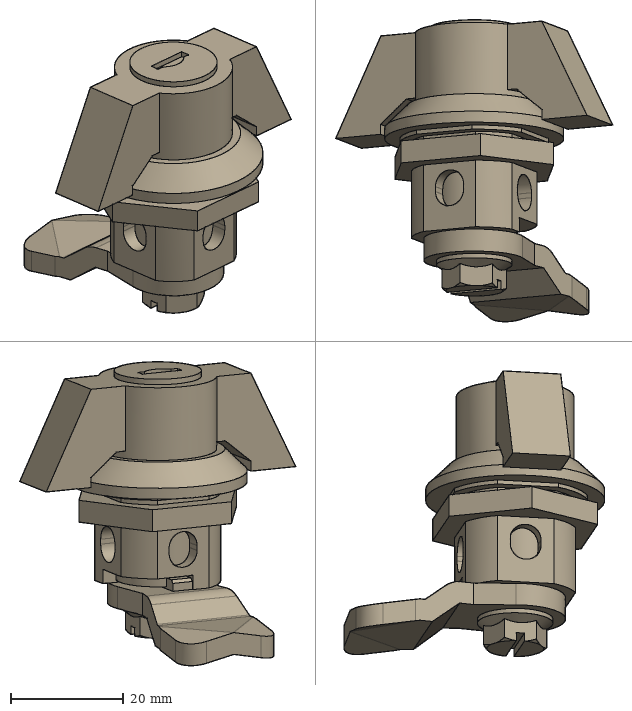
import cadquery as cq
import math


plug_radius = 7.8
plug_top = 20.2
knob_radius = 10.55
knob_top = 19.2
flange_radius = 16.0
flange_rim_top = 2.0
cone_top = 5.95
cone_top_radius = 12.0

wing_width = 10.5
wing_top_reach = 16.0
wing_tip_reach = 25.0
wing_bottom = 1.3
wing_rim_gap = 0.05
wing_gap_corner = 3.1
wing_gap_top = 7.3
wing_gap_top_reach = 10.9

key_blade_width = 1.7
key_blade_length = 7.85
key_bulge_length = 5.35
key_bulge_height = 1.15
key_slot_depth = 1.0

gasket_radius = 13.3
gasket_flats = 24.2
gasket_thickness = 0.75
sleeve_radius = 11.25
sleeve_flats = 20.0
sleeve_length = 18.1
core_radius = 7.6
nut_flats = 27.0
nut_corner_reach = 15.8
nut_top = -2.0
nut_thickness = 4.0
side_hole_width = 5.6
side_hole_height = 6.5
side_hole_z = -10.6

stop_height = 2.6
tab_width = 3.9
tab_reach = 9.8
tab_height = 2.0
tab_chamfer = 0.55
core_gap = 0.4
shaft_width = 8.0

cam_thickness = 4.0
cam_hub_radius = 9.0
cam_reach = 30.0
neck_x = -9.0
neck_width = 15.2
paddle_width = 19.2
paddle_root_x = -20.0
paddle_corner_radius = 4.1
ramp_top_x = -13.0
ramp_bottom_x = -18.15
ramp_crest_radius = 4.75
ramp_foot_radius = 0.75
fold_root_x = -18.9
fold_angle = 15.0

screw_collar_radius = 6.75
screw_collar_thickness = 0.8
screw_cone_height = 1.3
screw_flats = 10.0
screw_bottom = -27.6
screw_chamfer = 0.7
screw_chamfer_height = 0.5
screw_slot_width = 1.5
screw_slot_depth = 1.5

cam_top = -sleeve_length
cam_bottom = cam_top - cam_thickness
stop_top = cam_top + stop_height


def cylinder(radius, bottom, top):
    return cq.Workplane("XY").workplane(offset=bottom).circle(radius).extrude(top - bottom)


def box(x_range, y_range, z_range):
    size = [high - low for low, high in (x_range, y_range, z_range)]
    return cq.Workplane("XY").box(*size, centered=False).translate((x_range[0], y_range[0], z_range[0]))


def flatted_cylinder(radius, flats, bottom, top):
    """Cylinder with four flats, square to X and Y."""
    square = box((-flats / 2, flats / 2), (-flats / 2, flats / 2), (bottom, top))
    return cylinder(radius, bottom, top).intersect(square)


def revolved(points):
    """Turn an outline of (radius, z) points about the Z axis."""
    return cq.Workplane("XZ").polyline(points).close().revolve(360, (0, 0, 0), (0, 1, 0))


def make_flange():
    return revolved([
        (0, 0),
        (flange_radius, 0),
        (flange_radius, flange_rim_top),
        (cone_top_radius, cone_top),
        (0, cone_top),
    ])


def make_wing():
    """Wing on the +Y side, hanging over the cone of the flange with a small gap."""
    return (
        cq.Workplane("YZ")
        .polyline([
            (0, knob_top),
            (wing_top_reach, knob_top),
            (wing_tip_reach, wing_bottom),
            (flange_radius + wing_rim_gap, wing_bottom),
            (flange_radius + wing_rim_gap, wing_gap_corner),
            (wing_gap_top_reach, wing_gap_top),
            (0, wing_gap_top),
        ])
        .close()
        .extrude(wing_width / 2, both=True)
    )


def make_key_slot():
    """Keyway: a flat blade slot with a rounded bulge on its +X side."""
    half_blade = key_blade_length / 2
    half_bulge = key_bulge_length / 2
    return (
        cq.Workplane("XY")
        .workplane(offset=plug_top - key_slot_depth)
        .moveTo(-key_blade_width, -half_blade)
        .lineTo(0, -half_blade)
        .lineTo(0, -half_bulge)
        .threePointArc((key_bulge_height, 0), (0, half_bulge))
        .lineTo(0, half_blade)
        .lineTo(-key_blade_width, half_blade)
        .close()
        .extrude(key_slot_depth)
    )


def make_knob():
    wing = make_wing()
    knob = make_flange()
    knob = knob.union(cylinder(knob_radius, 0, knob_top))
    knob = knob.union(wing).union(wing.mirror("XZ"))
    knob = knob.union(cylinder(plug_radius, 0, plug_top))
    return knob.cut(make_key_slot())


def make_side_hole():
    """Upright obround hole reaching from the axis out through the -Y flat."""
    return (
        cq.Workplane("XZ", origin=(0, 0, side_hole_z))
        .slot2D(side_hole_height, side_hole_width, 90)
        .extrude(sleeve_radius)
    )


def make_sleeve():
    """Flatted sleeve around the core, with side holes and the rotation-stop recess."""
    sleeve = flatted_cylinder(sleeve_radius, sleeve_flats, cam_top, 0)
    hole = make_side_hole()
    for angle in (0, 90, 180, 270):
        sleeve = sleeve.cut(hole.rotate((0, 0, 0), (0, 0, 1), angle))

    half_tab = tab_width / 2
    sleeve = sleeve.cut(
        box((-sleeve_radius, half_tab), (-half_tab, sleeve_radius), (cam_top, stop_top))
    )

    core = cylinder(core_radius, cam_top + core_gap, 0)
    shaft = cq.Workplane("XY").rect(shaft_width, shaft_width).extrude(cam_top)
    return sleeve.union(core).union(shaft)


def make_nut():
    half_flats = nut_flats / 2
    half_side = nut_corner_reach / 2
    return (
        cq.Workplane("XY")
        .workplane(offset=nut_top)
        .polyline([
            (0, nut_corner_reach),
            (half_flats, half_side),
            (half_flats, -half_side),
            (0, -nut_corner_reach),
            (-half_flats, -half_side),
            (-half_flats, half_side),
        ])
        .close()
        .extrude(-nut_thickness)
    )


def make_cam_plan():
    """Cam outline seen along Z: round hub, narrow neck and wide paddle with rounded corners."""
    half_paddle = paddle_width / 2
    half_neck = neck_width / 2
    neck_distance = math.hypot(neck_x, half_neck)
    tangent_angle = math.atan2(half_neck, neck_x) - math.acos(cam_hub_radius / neck_distance)
    tangent_x = cam_hub_radius * math.cos(tangent_angle)
    tangent_y = cam_hub_radius * math.sin(tangent_angle)
    return (
        cq.Workplane("XY")
        .workplane(offset=screw_bottom)
        .moveTo(tangent_x, -tangent_y)
        .threePointArc((cam_hub_radius, 0), (tangent_x, tangent_y))
        .lineTo(neck_x, half_neck)
        .lineTo(paddle_root_x, half_paddle)
        .lineTo(-cam_reach, half_paddle)
        .lineTo(-cam_reach, -half_paddle)
        .lineTo(paddle_root_x, -half_paddle)
        .lineTo(neck_x, -half_neck)
        .close()
        .extrude(cam_top - screw_bottom)
        .edges("|Z and <X")
        .fillet(paddle_corner_radius)
    )


def make_cam_arm():
    """Hub plate and the ramp going down one plate thickness, as wide as the paddle."""
    ramp_run = ramp_top_x - ramp_bottom_x
    ramp_angle = math.atan2(cam_thickness, ramp_run)
    bottom_shift = cam_thickness * math.tan(ramp_angle / 2)
    paddle_bottom = cam_bottom - cam_thickness
    arm = (
        cq.Workplane("XZ")
        .polyline([
            (cam_hub_radius, cam_top),
            (ramp_top_x, cam_top),
            (ramp_bottom_x, cam_bottom),
            (fold_root_x, cam_bottom),
            (fold_root_x, paddle_bottom),
            (ramp_bottom_x + bottom_shift, paddle_bottom),
            (ramp_top_x + bottom_shift, cam_bottom),
            (cam_hub_radius, cam_bottom),
        ])
        .close()
        .extrude(paddle_width / 2, both=True)
    )
    crest_point = (ramp_top_x, 0, cam_top)
    foot_point = (ramp_bottom_x, 0, cam_bottom)
    arm = arm.edges(cq.selectors.NearestToPointSelector(crest_point)).fillet(ramp_crest_radius)
    return arm.edges(cq.selectors.NearestToPointSelector(foot_point)).fillet(ramp_foot_radius)


def make_folded_block():
    """Block whose top is level in a middle triangle and bends down on both outer sides."""
    size = 2 * cam_reach
    block = box((-cam_reach, fold_root_x), (-paddle_width / 2, paddle_width / 2), (-size, cam_bottom))
    fold_direction = math.degrees(math.atan2(paddle_width / 2, cam_reach + fold_root_x))
    above_fold = (
        box((-size, size), (0, size), (0, size))
        .rotate((0, 0, 0), (1, 0, 0), -fold_angle)
        .rotate((0, 0, 0), (0, 0, 1), fold_direction)
        .translate((-cam_reach, 0, cam_bottom))
    )
    return block.cut(above_fold).cut(above_fold.mirror("XZ"))


def make_cam():
    folded_block = make_folded_block()
    paddle = folded_block.cut(folded_block.translate((0, 0, -cam_thickness)))
    cam = make_cam_arm().union(paddle).intersect(make_cam_plan())
    half_tab = tab_width / 2
    tab = box((-tab_reach, 0), (-half_tab, half_tab), (cam_top, cam_top + tab_height))
    tab = tab.edges("<X and >Z").chamfer(tab_chamfer)
    return cam.union(tab)


def make_screw():
    """Hexagonal collar screw with a conical collar, chamfered end and driver slot along Y."""
    collar_bottom = cam_bottom - screw_collar_thickness
    cone_bottom = collar_bottom - screw_cone_height
    half_flats = screw_flats / 2
    corner_radius = half_flats / math.cos(math.pi / 6)
    collar = revolved([
        (0, cam_bottom),
        (screw_collar_radius, cam_bottom),
        (screw_collar_radius, collar_bottom),
        (half_flats, cone_bottom),
        (0, cone_bottom),
    ])
    head = (
        cq.Workplane("XY")
        .workplane(offset=screw_bottom)
        .polygon(6, 2 * corner_radius)
        .extrude(cam_bottom - screw_bottom)
    )
    chamfer_envelope = revolved([
        (0, screw_bottom),
        (corner_radius - screw_chamfer, screw_bottom),
        (corner_radius, screw_bottom + screw_chamfer_height),
        (corner_radius, cam_bottom),
        (0, cam_bottom),
    ])
    slot = box(
        (-screw_slot_width / 2, screw_slot_width / 2),
        (-corner_radius, corner_radius),
        (screw_bottom, screw_bottom + screw_slot_depth),
    )
    return head.intersect(chamfer_envelope).union(collar).cut(slot)


gasket = flatted_cylinder(gasket_radius, gasket_flats, -gasket_thickness, 0)

result = make_knob().union(gasket).union(make_sleeve()).union(make_nut())
result = result.union(make_cam()).union(make_screw())